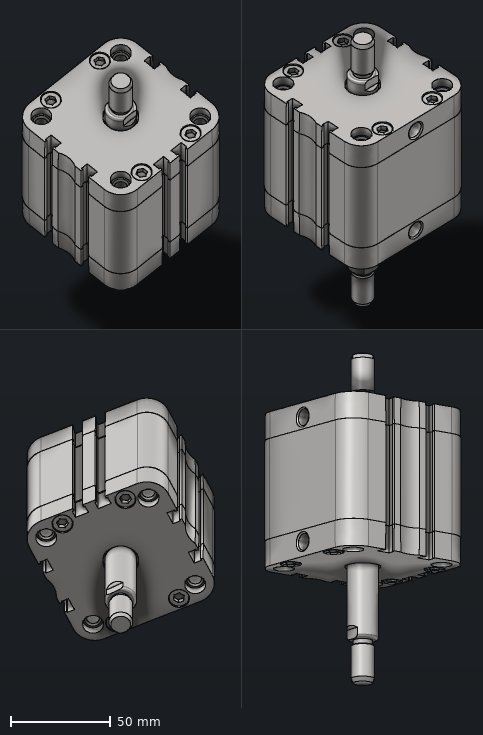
import cadquery as cq
import math


housing_width = 77.0
housing_height = 79.5
barrel_corner_radius = 11.7
cap_corner_radius = 12.0
cap_height = 13.9
cap_draft = 0.5
cap_joint = housing_height / 2 - cap_height
half_width = housing_width / 2

slot_opening = 5.4
slot_width = 7.1
barrel_slot_depth = 4.9
cap_slot_depth = 5.4
slot_lip = 1.5
y_side_slot_offset = 12.8
x_side_slot_offset = 6.3

hollow_width = 12.2
hollow_depth = 1.5

mount_offset = 28.2
mount_bore = 10.5
mount_bore_depth = 5.0
mount_rim = 8.6
mount_hole = 6.6

screw_x = 32.3
screw_y = 17.4
screw_recess = 10.5
screw_head = 10.0
screw_head_drop = 0.7
screw_gap_depth = 1.7
hex_across_flats = 5.0
hex_depth = 2.7

port_diameter = 8.6
port_rim = 10.3
port_depth = 15.2
port_from_face = 7.6

rod_diameter = 16.0
rod_recess_rim = 18.0
rod_recess_floor = 17.7
rod_recess_depth = 1.7
rod_round = 1.5
upper_shoulder_reach = 7.6
upper_shoulder = housing_height / 2 + upper_shoulder_reach
lower_shoulder_reach = 38.0
lower_shoulder = housing_height / 2 + lower_shoulder_reach
neck_diameter = 10.0
neck_length = 2.4
neck_cone = 0.5
thread_diameter = 12.0
tip_diameter = 10.0
tip_cone = 2.4
thread_length = 22.0
across_flats = 13.0
flat_distance = across_flats / 2
flat_length = 5.2
lower_rod_turn = -4


def slot_cutter(offset, depth):
    """Undercut slot open to the +Y side, centred at X = offset, through the whole height."""
    opening = cq.Workplane("XY").box(slot_opening, 2 * depth, housing_height)
    undercut_depth = depth - slot_lip
    undercut = (
        cq.Workplane("XY")
        .box(slot_width, undercut_depth, housing_height)
        .translate((0, -slot_lip - undercut_depth / 2, 0))
    )
    return opening.union(undercut).translate((offset, half_width, 0))


def hollow_cutter():
    """Circular segment along the +Y side, through the whole height."""
    half_chord = hollow_width / 2
    radius = (half_chord**2 + hollow_depth**2) / (2 * hollow_depth)
    return (
        cq.Workplane("XY")
        .circle(radius)
        .extrude(housing_height)
        .translate((0, half_width - hollow_depth + radius, -housing_height / 2))
    )


def side_cutters(slot_depth):
    """All lengthwise slots and hollows of the housing sides."""
    cutters = cq.Workplane("XY")
    for turn in (0, 180):
        cutters = cutters.add(hollow_cutter().rotate((0, 0, 0), (0, 0, 1), turn))
        for side in (-1, 1):
            slot = slot_cutter(side * y_side_slot_offset, slot_depth)
            cutters = cutters.add(slot.rotate((0, 0, 0), (0, 0, 1), turn))
    for side in (-1, 1):
        slot = slot_cutter(side * x_side_slot_offset, slot_depth)
        cutters = cutters.add(slot.rotate((0, 0, 0), (0, 0, 1), -90))
    return cutters.combine()


def rounded_square(bottom, corner_radius):
    """Housing outline on the plane Z = bottom."""
    outline = cq.Sketch().rect(housing_width, housing_width).vertices().fillet(corner_radius)
    return cq.Workplane("XY", origin=(0, 0, bottom)).placeSketch(outline)


def make_barrel():
    block = rounded_square(-cap_joint, barrel_corner_radius).extrude(2 * cap_joint)
    rod_hole = cq.Workplane("XY").circle(rod_diameter / 2).extrude(cap_joint, both=True)
    return block.cut(side_cutters(barrel_slot_depth)).cut(rod_hole)


def mounting_hole_cutter():
    """Counterbored through hole with a cone below the counterbore, its mouth at Z = 0."""
    cone = (mount_rim - mount_hole) / 2
    return (
        cq.Workplane("XZ")
        .polyline(
            [
                (0, 0),
                (mount_bore / 2, 0),
                (mount_bore / 2, -mount_bore_depth),
                (mount_rim / 2, -mount_bore_depth),
                (mount_hole / 2, -mount_bore_depth - cone),
                (mount_hole / 2, -cap_height),
                (0, -cap_height),
            ]
        )
        .close()
        .revolve(360, (0, 0, 0), (0, 1, 0))
    )


def screw_cutter(hex_turn):
    """Room above a sunken screw head, the gap round the head and its hexagon socket, below Z = 0."""
    room = cq.Workplane("XY").circle(screw_recess / 2).extrude(-screw_head_drop)
    head_top = cq.Workplane("XY", origin=(0, 0, -screw_head_drop))
    gap = head_top.circle(screw_recess / 2).circle(screw_head / 2).extrude(-screw_gap_depth)
    hex_corners = hex_across_flats / math.cos(math.pi / 6)
    socket = head_top.polygon(6, hex_corners).extrude(-hex_depth)
    return room.union(gap).union(socket.rotate((0, 0, 0), (0, 0, 1), hex_turn))


def port_cutter():
    """Blind port entering from the -X side, countersunk at its mouth."""
    cone = (port_rim - port_diameter) / 2
    port_height = housing_height / 2 - port_from_face
    return (
        cq.Workplane("XY")
        .polyline(
            [
                (-half_width, 0),
                (-half_width, port_rim / 2),
                (-half_width + cone, port_diameter / 2),
                (-half_width + port_depth, port_diameter / 2),
                (-half_width + port_depth, 0),
            ]
        )
        .close()
        .revolve(360, (0, 0, 0), (1, 0, 0))
        .translate((0, 0, port_height))
    )


def make_cap():
    """Upper end cap."""
    face = housing_height / 2
    cap = rounded_square(cap_joint, cap_corner_radius).extrude(cap_height, taper=cap_draft)
    cap = cap.cut(side_cutters(cap_slot_depth)).cut(port_cutter())
    for x_side in (-1, 1):
        hex_turn = 30 if x_side < 0 else 0
        for y_side in (-1, 1):
            mount_place = (x_side * mount_offset, y_side * mount_offset, face)
            cap = cap.cut(mounting_hole_cutter().translate(mount_place))
            screw_place = (x_side * screw_x, y_side * screw_y, face)
            cap = cap.cut(screw_cutter(hex_turn).translate(screw_place))
    rod_hole = cq.Workplane("XY").circle(rod_diameter / 2).extrude(face)
    recess = (
        cq.Workplane("XY", origin=(0, 0, face - rod_recess_depth))
        .circle(rod_recess_floor / 2)
        .workplane(offset=rod_recess_depth)
        .circle(rod_recess_rim / 2)
        .loft()
    )
    return cap.cut(rod_hole).cut(recess)


def flat_cutter(shoulder):
    """Spanner flat on the +X side of a rod, ending in a 45 degree run-out."""
    run_out = rod_diameter / 2 - flat_distance
    flat_end = shoulder - flat_length
    return (
        cq.Workplane("XZ")
        .polyline(
            [
                (flat_distance, shoulder),
                (flat_distance, flat_end),
                (flat_distance + run_out, flat_end - run_out),
                (flat_distance + run_out, shoulder),
            ]
        )
        .close()
        .extrude(rod_diameter / 2, both=True)
    )


def make_rod(shoulder):
    """Rod from Z = 0 up to its shoulder, followed by a neck and a threaded end."""
    tip = shoulder + thread_length
    neck_end = shoulder + neck_length
    rod_radius = rod_diameter / 2
    arc_middle = rod_round * (1 - math.sqrt(0.5))
    rod = (
        cq.Workplane("XZ")
        .moveTo(0, 0)
        .lineTo(rod_radius, 0)
        .lineTo(rod_radius, shoulder - rod_round)
        .threePointArc(
            (rod_radius - arc_middle, shoulder - arc_middle),
            (rod_radius - rod_round, shoulder),
        )
        .lineTo(neck_diameter / 2, shoulder)
        .lineTo(neck_diameter / 2, neck_end)
        .lineTo(thread_diameter / 2, neck_end + neck_cone)
        .lineTo(thread_diameter / 2, tip - tip_cone)
        .lineTo(tip_diameter / 2, tip)
        .lineTo(0, tip)
        .close()
        .revolve(360, (0, 0, 0), (0, 1, 0))
    )
    for turn in (0, 180):
        rod = rod.cut(flat_cutter(shoulder).rotate((0, 0, 0), (0, 0, 1), turn))
    return rod


barrel = make_barrel()
upper_cap = make_cap()
lower_cap = upper_cap.rotate((0, 0, 0), (1, 0, 0), 180)
upper_rod = make_rod(upper_shoulder)
lower_rod = (
    make_rod(lower_shoulder)
    .rotate((0, 0, 0), (1, 0, 0), 180)
    .rotate((0, 0, 0), (0, 0, 1), lower_rod_turn)
)

result = cq.Compound.makeCompound(
    [barrel.val(), upper_cap.val(), lower_cap.val(), upper_rod.val(), lower_rod.val()]
)